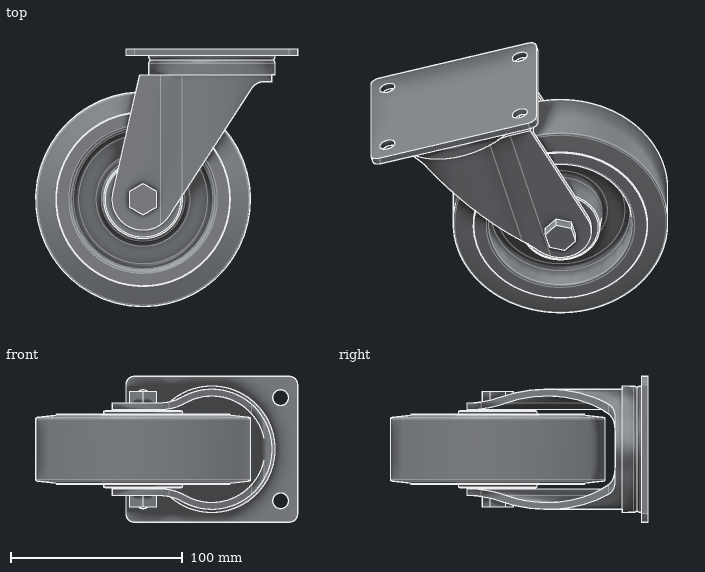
import cadquery as cq
import math


PLATE_LENGTH = 100.0
PLATE_WIDTH = 85.0
PLATE_THICKNESS = 4.0
PLATE_CORNER_RADIUS = 5.0
BOLT_HOLE_DIAMETER = 9.0
BOLT_SPACING_X = 80.0
BOLT_SPACING_Z = 60.0

HEAD_RADIUS = 73.6 / 2
HEAD_BOTTOM = 15.2
GROOVE_TOP = 4.7
GROOVE_WIDTH = 3.8
GROOVE_DEPTH = 1.1

WHEEL_RADIUS = 62.5
OVERALL_HEIGHT = 150.0
AXLE_X = -40.0
AXLE_Y = WHEEL_RADIUS - OVERALL_HEIGHT

SHEET = 4.0
ARM_OUTER_Z = 27.0
CROWN_RADIUS = 35.0
ARM_BEND_RADIUS = 25.0
ARM_END_RADIUS = 18.0
CROWN_LEFT_X = -42.1
LIP_CORNER_X = 25.7
LIP_FILLET = 8.5

AXLE_RADIUS = 15.02 / 2
HEX_ACROSS_FLATS = 15.8
HEX_HEIGHT = 6.6

TREAD_HALF_WIDTH = 18.5
TREAD_EDGE_ROUND = 1.0
TREAD_INNER_HALF_WIDTH = 19.8
RIM_RADIUS = 101.56 / 2
RIM_HALF_WIDTH = 20.4
RIM_CHAMFER = 0.4
RECESS_RADIUS = 42.0
RECESS_FLOOR_RADIUS = 40.2
RECESS_MOUTH_ROUND = 1.3
WEB_HALF_WIDTH = 4.0
WEB_FILLET = 3.0
HUB_TOP_RADIUS = 22.9
HUB_BASE_RADIUS = 24.6
HUB_HALF_WIDTH = 22.4
HUB_CHAMFER_HEIGHT = 0.3
HUB_CHAMFER_WIDTH = 0.9

MATCH_TOLERANCE = 0.01


def make_plate():
    plate = (
        cq.Workplane("XZ")
        .rect(PLATE_LENGTH, PLATE_WIDTH)
        .extrude(PLATE_THICKNESS)
        .edges("|Y")
        .fillet(PLATE_CORNER_RADIUS)
    )
    return (
        plate.faces("<Y")
        .workplane(origin=(0, 0, 0))
        .rect(BOLT_SPACING_X, BOLT_SPACING_Z, forConstruction=True)
        .vertices()
        .hole(BOLT_HOLE_DIAMETER)
    )


def make_head():
    """Swivel head with a rounded groove around it, revolved about Y."""
    half_width = GROOVE_WIDTH / 2
    valley_x = HEAD_RADIUS - GROOVE_DEPTH
    valley_y = -(GROOVE_TOP + half_width)
    flank_radius = (half_width ** 2 + GROOVE_DEPTH ** 2) / (2 * GROOVE_DEPTH)
    half_angle = math.asin(half_width / flank_radius) / 2
    flank_x = HEAD_RADIUS - flank_radius * (1 - math.cos(half_angle))
    flank_rise = half_width - flank_radius * math.sin(half_angle)
    return (
        cq.Workplane("XY")
        .moveTo(0, -PLATE_THICKNESS)
        .lineTo(HEAD_RADIUS, -PLATE_THICKNESS)
        .lineTo(HEAD_RADIUS, -GROOVE_TOP)
        .threePointArc((flank_x, valley_y + flank_rise), (valley_x, valley_y))
        .threePointArc((flank_x, valley_y - flank_rise), (HEAD_RADIUS, valley_y - half_width))
        .lineTo(HEAD_RADIUS, -HEAD_BOTTOM)
        .lineTo(0, -HEAD_BOTTOM)
        .close()
        .revolve(360, (0, 0), (0, 1))
    )


def fork_plan(inset, top_depth):
    """Fork body in plan: straight arms blending into a round crown, moved in by inset."""
    arm_z = ARM_OUTER_Z - inset
    crown_r = CROWN_RADIUS - inset
    bend_r = ARM_BEND_RADIUS + inset
    bend_z = arm_z + bend_r
    bend_x = -math.sqrt((crown_r + bend_r) ** 2 - bend_z ** 2)
    share = crown_r / (crown_r + bend_r)
    blend_x = bend_x * share
    blend_z = bend_z * share
    open_end_x = AXLE_X - 2 * ARM_END_RADIUS
    depth = OVERALL_HEIGHT - top_depth
    blend_angle = math.atan2(blend_z - bend_z, blend_x - bend_x)
    middle_angle = (blend_angle - math.pi / 2) / 2
    middle_x = bend_x + bend_r * math.cos(middle_angle)
    middle_z = bend_z + bend_r * math.sin(middle_angle)
    return (
        cq.Workplane("XZ", origin=(0, -top_depth, 0))
        .moveTo(open_end_x, arm_z)
        .lineTo(bend_x, arm_z)
        .threePointArc((middle_x, middle_z), (blend_x, blend_z))
        .threePointArc((crown_r, 0), (blend_x, -blend_z))
        .threePointArc((middle_x, -middle_z), (bend_x, -arm_z))
        .lineTo(open_end_x, -arm_z)
        .close()
        .extrude(depth)
    )


def arm_end_tangent_point(x, y, side):
    """Point where the line from (x, y) touches the round arm end, left (-1) or right (+1)."""
    dx = x - AXLE_X
    dy = y - AXLE_Y
    angle = math.atan2(dy, dx) - side * math.acos(ARM_END_RADIUS / math.hypot(dx, dy))
    return (
        AXLE_X + ARM_END_RADIUS * math.cos(angle),
        AXLE_Y + ARM_END_RADIUS * math.sin(angle),
    )


def fork_side_profile():
    """Side outline of the fork, as a slab through its full width."""
    lip_y = -(HEAD_BOTTOM + SHEET)
    left_touch = arm_end_tangent_point(CROWN_LEFT_X, -HEAD_BOTTOM, -1)
    right_touch = arm_end_tangent_point(LIP_CORNER_X, lip_y, 1)
    slab = (
        cq.Workplane("XY")
        .moveTo(CROWN_LEFT_X, -HEAD_BOTTOM)
        .lineTo(*left_touch)
        .threePointArc((AXLE_X, AXLE_Y - ARM_END_RADIUS), right_touch)
        .lineTo(LIP_CORNER_X, lip_y)
        .lineTo(CROWN_RADIUS, lip_y)
        .lineTo(CROWN_RADIUS, -HEAD_BOTTOM)
        .close()
        .extrude(CROWN_RADIUS, both=True)
    )
    lip_corner = cq.selectors.NearestToPointSelector((LIP_CORNER_X, lip_y, 0))
    return slab.edges("|Z").edges(lip_corner).fillet(LIP_FILLET)


def make_fork():
    body = fork_plan(0, HEAD_BOTTOM).intersect(fork_side_profile())
    return body.cut(fork_plan(SHEET, HEAD_BOTTOM + SHEET))


def make_axle():
    """Axle through both arms, with a hexagon head outside each."""
    corner_diameter = HEX_ACROSS_FLATS / math.cos(math.pi / 6)
    center = cq.Workplane("XY", origin=(AXLE_X, AXLE_Y, 0))
    axle = center.circle(AXLE_RADIUS).extrude(ARM_OUTER_Z, both=True)
    head = (
        center.workplane(offset=ARM_OUTER_Z)
        .transformed(rotate=(0, 0, 90))
        .polygon(6, corner_diameter)
        .extrude(HEX_HEIGHT)
    )
    return axle.union(head).union(head.mirror("XY"))


def make_wheel():
    """Wheel revolved about the axle: one half profile, then mirrored."""
    half = (
        cq.Workplane("XZ")
        .moveTo(0, 0)
        .lineTo(WHEEL_RADIUS, 0)
        .lineTo(WHEEL_RADIUS, TREAD_HALF_WIDTH)
        .lineTo(RIM_RADIUS, TREAD_INNER_HALF_WIDTH)
        .lineTo(RIM_RADIUS, RIM_HALF_WIDTH - RIM_CHAMFER)
        .lineTo(RIM_RADIUS - RIM_CHAMFER, RIM_HALF_WIDTH)
        .lineTo(RECESS_RADIUS, RIM_HALF_WIDTH)
        .lineTo(RECESS_FLOOR_RADIUS, WEB_HALF_WIDTH)
        .lineTo(HUB_BASE_RADIUS, WEB_HALF_WIDTH)
        .lineTo(HUB_TOP_RADIUS, HUB_HALF_WIDTH - HUB_CHAMFER_HEIGHT)
        .lineTo(HUB_TOP_RADIUS - HUB_CHAMFER_WIDTH, HUB_HALF_WIDTH)
        .lineTo(0, HUB_HALF_WIDTH)
        .close()
        .revolve(360, (0, 0), (0, 1))
    )

    def circle_edge(radius, height):
        return half.edges("%CIRCLE").filter(
            lambda e: math.isclose(e.radius(), radius, abs_tol=MATCH_TOLERANCE)
            and math.isclose(e.Center().z, height, abs_tol=MATCH_TOLERANCE)
        )

    half = circle_edge(WHEEL_RADIUS, TREAD_HALF_WIDTH).fillet(TREAD_EDGE_ROUND)
    half = circle_edge(RECESS_RADIUS, RIM_HALF_WIDTH).fillet(RECESS_MOUTH_ROUND)
    half = circle_edge(RECESS_FLOOR_RADIUS, WEB_HALF_WIDTH).fillet(WEB_FILLET)
    half = circle_edge(HUB_BASE_RADIUS, WEB_HALF_WIDTH).fillet(WEB_FILLET)
    return half.union(half.mirror("XY")).translate((AXLE_X, AXLE_Y, 0))


result = (
    make_plate()
    .union(make_head())
    .union(make_fork())
    .union(make_axle())
    .union(make_wheel())
)